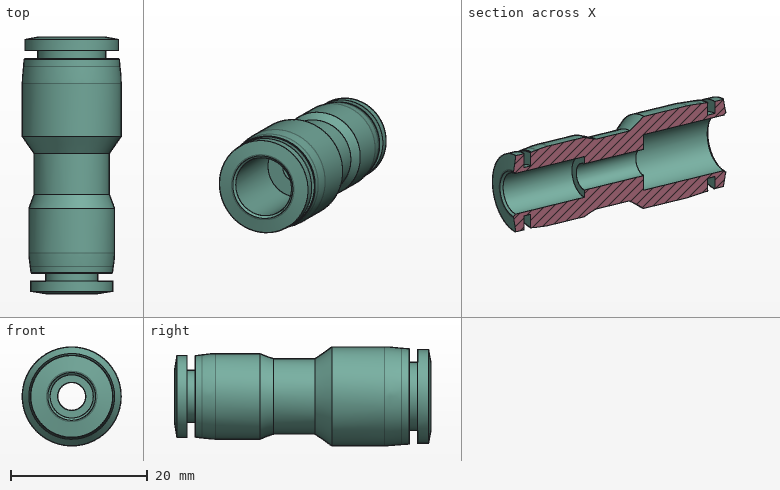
import cadquery as cq

length = 37.6
waist_radius = 5.53
through_radius = 2.03
sleeve_wall = 0.68
lip_chamfer = 0.35
lip_land = 0.2
body_edge_chamfer = 0.1

small_end = dict(
    neck_radius=3.85, flange_radius=6.0, collar_radius=5.98, collar_top_radius=6.1,
    body_radius=6.28,
    flange_edge=0.38, flange_back=1.88, body_face=3.0, collar_end=4.02,
    taper_end=6.0, shoulder=12.52, waist=14.55,
)
large_end = dict(
    neck_radius=5.0, flange_radius=6.88, collar_radius=7.0, collar_top_radius=7.05,
    body_radius=7.25,
    flange_edge=0.38, flange_back=2.0, body_face=3.15, collar_end=4.35,
    taper_end=6.85, shoulder=14.55, waist=17.05,
)


def revolve_profile(profile):
    return profile.close().revolve(360, (0, 0, 0), (0, 1, 0))


def end_body(end):
    """Solid outer form from one end face (at Y = 0) to the start of the waist."""
    drop = end["body_radius"] - end["collar_top_radius"]
    run = end["taper_end"] - end["collar_end"]
    profile = (
        cq.Workplane("XY")
        .moveTo(0, 0)
        .lineTo(end["neck_radius"] - sleeve_wall + lip_chamfer + lip_land, 0)
        .lineTo(end["flange_radius"], end["flange_edge"])
        .lineTo(end["flange_radius"], end["flange_back"])
        .lineTo(end["neck_radius"], end["flange_back"])
        .lineTo(end["neck_radius"], end["body_face"])
        .lineTo(end["collar_radius"] - body_edge_chamfer, end["body_face"])
        .lineTo(end["collar_radius"], end["body_face"] + body_edge_chamfer)
        .lineTo(end["collar_top_radius"], end["collar_end"])
        .threePointArc(
            (end["body_radius"] - drop / 4, end["collar_end"] + run / 2),
            (end["body_radius"], end["taper_end"]),
        )
        .lineTo(end["body_radius"], end["shoulder"])
        .lineTo(waist_radius, end["waist"])
        .lineTo(0, end["waist"])
    )
    return revolve_profile(profile)


def socket(end):
    """Tube socket with a chamfered mouth, as deep as the full-width body."""
    bore_radius = end["neck_radius"] - sleeve_wall
    profile = (
        cq.Workplane("XY")
        .moveTo(0, 0)
        .lineTo(bore_radius + lip_chamfer, 0)
        .lineTo(bore_radius, lip_chamfer)
        .lineTo(bore_radius, end["shoulder"])
        .lineTo(0, end["shoulder"])
    )
    return revolve_profile(profile)


def y_cylinder(radius, y_start, y_end):
    """Cylinder on the Y axis between two stations."""
    return cq.Workplane("XZ", origin=(0, y_start, 0)).circle(radius).extrude(y_start - y_end)


def at_front(shape):
    return shape.translate((0, -length / 2, 0))


def at_back(shape):
    return shape.mirror("XZ").translate((0, length / 2, 0))


waist = y_cylinder(waist_radius, small_end["waist"] - length / 2, length / 2 - large_end["waist"])
body = waist.union(at_front(end_body(small_end))).union(at_back(end_body(large_end)))
passage = y_cylinder(through_radius, -length / 2, length / 2)
result = body.cut(at_front(socket(small_end))).cut(at_back(socket(large_end))).cut(passage)